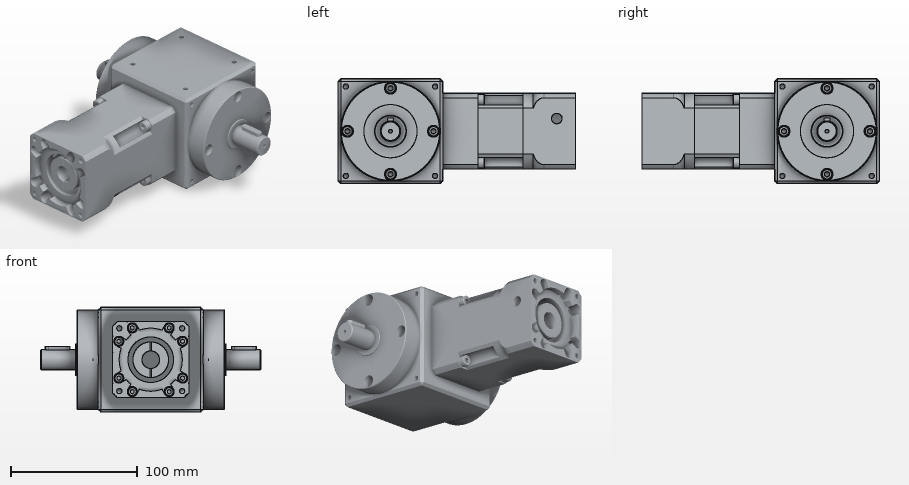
import cadquery as cq
import math


overall_x = 174.0
overall_y = 187.7

block_size = 83.0
block_half = block_size / 2
block_chamfer = 2.3
side_tap_offset = 35.3
top_tap_offset = 28.3

tap_radius = 2.0
tap_depth = 7.5
drill_tip_angle = 118.0

flange_radius = 39.5
flange_length = 16.9
flange_chamfer = 0.5
flange_face = block_half + flange_length
flange_screw_circle = 34.0
flange_bore_radius = 4.7
flange_bore_depth = 12.5
flange_screw_radius = 4.1
flange_screw_height = 5.0
flange_screw_socket = 4.0

shaft_end = overall_x / 2
shaft_radius = 8.0
shaft_chamfer = 0.8
disc_radius = 21.0
collar_radius = 12.5
collar_length = 1.1
collar_chamfer = 0.4
centre_hole_radius = 1.5
centre_hole_depth = 3.8
key_width = 5.0
key_length = 19.7
key_end_gap = 3.5
key_top = 10.5

stage_width = 60.0
stage_half = stage_width / 2
adapter_front = -69.0
ring_gear_front = -104.5
ring_gear_length = adapter_front - ring_gear_front
motor_face = block_half - overall_y
large_corner_radius = 40.0
small_corner_radius = 35.1
bolt_offset = small_corner_radius / math.sqrt(2)
bolt_positions = [(x, z) for x in (-bolt_offset, bolt_offset) for z in (-bolt_offset, bolt_offset)]
stage_screw_radius = 4.3
stage_screw_height = 5.3
stage_screw_socket = 4.0
screw_groove_radius = 5.3

motor_flange_length = ring_gear_front - motor_face
neck_front = -112.8
shoulder_radius = 10.0
pilot_radius = 25.0
pilot_depth = 6.0
cavity_radius = 18.0
motor_screw_circle = 29.0
motor_screw_angles = [quarter + turn for quarter in (0, 90, 180, 270) for turn in (30, 60)]
motor_bore_radius = 4.0
motor_bore_depth = 10.5
motor_screw_radius = 3.5
motor_screw_height = 1.0
motor_screw_socket = 3.0
relief_slot_start = 21.5
access_hole_radius = 4.1
access_hole_y = motor_face + 14.8
access_hole_z = 10.0

hub_radius = 14.0
hub_face = motor_face + 6.8
hub_bore_radius = 7.0
hub_bore_depth = 24.4
hub_slit_width = 1.0
hub_slit_depth = 18.8

head_chamfer = 0.4
socket_share = 0.6

FRONT = (0, -1, 0)
BACK = (0, 1, 0)
DOWN = (0, 0, -1)


def moved_along(start, direction, distance):
    return tuple(s + d * distance for s, d in zip(start, direction))


def cylinder(radius, length, start, direction):
    return cq.Workplane(cq.Solid.makeCylinder(radius, length, cq.Vector(*start), cq.Vector(*direction)))


def end_chamfered_cylinder(radius, length, start, direction, chamfer):
    """A cylinder with its far end chamfered."""
    far_end = cq.selectors.DirectionMinMaxSelector(cq.Vector(*direction), True)
    return cylinder(radius, length, start, direction).faces(far_end).chamfer(chamfer)


def drill_tip(radius, start, direction):
    """The cone that a drill leaves at the bottom of a hole."""
    length = radius / math.tan(math.radians(drill_tip_angle / 2))
    return cq.Workplane(cq.Solid.makeCone(radius, 0, length, cq.Vector(*start), cq.Vector(*direction)))


def drilled_hole(radius, depth, start, direction):
    bottom = moved_along(start, direction, depth)
    return cylinder(radius, depth, start, direction).union(drill_tip(radius, bottom, direction))


def socket_head(radius, height, socket_width, seat, direction):
    """A screw head with a hexagon socket, standing on its seat."""
    head = end_chamfered_cylinder(radius, height, seat, direction, head_chamfer)
    socket = (
        cq.Workplane(cq.Plane(origin=seat, xDir=(0, 0, 1), normal=direction))
        .workplane(offset=height)
        .polygon(6, socket_width * 2 / math.sqrt(3))
        .extrude(-height * socket_share)
    )
    return head.cut(socket)


def square_prism(back, front):
    """A length of the input stage with its full square section."""
    length = back - front
    return cq.Workplane("XY").box(stage_width, length, stage_width).translate((0, front + length / 2, 0))


def stage_section(back, front, corner_radius):
    """A square length of the input stage with its corners turned to a radius."""
    return square_prism(back, front).intersect(cylinder(corner_radius, back - front, (0, back, 0), FRONT))


def add_output_flange(body, side):
    outward = (side, 0, 0)
    inward = (-side, 0, 0)
    root = (side * (block_half - block_chamfer), 0, 0)
    body = body.union(
        end_chamfered_cylinder(flange_radius, flange_length + block_chamfer, root, outward, flange_chamfer)
    )
    for y, z in ((1, 0), (0, 1), (-1, 0), (0, -1)):
        mouth = (side * flange_face, flange_screw_circle * y, flange_screw_circle * z)
        seat = moved_along(mouth, inward, flange_bore_depth)
        head = socket_head(flange_screw_radius, flange_screw_height, flange_screw_socket, seat, outward)
        socket_bottom = moved_along(seat, outward, flange_screw_height * (1 - socket_share))
        head = head.cut(drill_tip(flange_screw_socket / 2, socket_bottom, inward))
        body = body.cut(cylinder(flange_bore_radius, flange_bore_depth, mouth, inward)).union(head)
    return body.cut(cylinder(disc_radius, flange_length, (side * flange_face, 0, 0), inward))


def cut_block_taps(body):
    for y in (-side_tap_offset, side_tap_offset):
        for z in (-side_tap_offset, side_tap_offset):
            for side in (-1, 1):
                body = body.cut(drilled_hole(tap_radius, tap_depth, (side * block_half, y, z), (-side, 0, 0)))
    for x in (-top_tap_offset, top_tap_offset):
        for y in (-top_tap_offset, top_tap_offset):
            body = body.cut(drilled_hole(tap_radius, tap_depth, (x, y, block_half), DOWN))
    return body


def add_adapter(body):
    body = body.union(stage_section(-block_half, adapter_front, large_corner_radius))
    for x, z in bolt_positions:
        seat = (x, adapter_front, z)
        body = body.union(
            socket_head(stage_screw_radius, stage_screw_height, stage_screw_socket, seat, FRONT)
        )
    return body


def make_housing():
    body = cq.Workplane("XY").box(block_size, block_size, block_size).edges().chamfer(block_chamfer)
    for side in (-1, 1):
        body = add_output_flange(body, side)
    body = cut_block_taps(body)
    body = add_adapter(body)
    return body.cut(cylinder(shaft_radius, block_size, (-block_half, 0, 0), (1, 0, 0)))


def make_ring_gear():
    body = stage_section(adapter_front, ring_gear_front, small_corner_radius)
    for x, z in bolt_positions:
        body = body.cut(cylinder(screw_groove_radius, ring_gear_length, (x, adapter_front, z), FRONT))
    return body


def motor_flange_envelope():
    """The turned shape of the corners: a thin neck, a rounded shoulder and a thick front."""
    arc_centre_radius = large_corner_radius - shoulder_radius
    arc_start_angle = math.acos((small_corner_radius - arc_centre_radius) / shoulder_radius)
    shoulder_front = neck_front - shoulder_radius * math.sin(arc_start_angle)
    arc_middle = (
        arc_centre_radius + shoulder_radius * math.cos(arc_start_angle / 2),
        shoulder_front + shoulder_radius * math.sin(arc_start_angle / 2),
    )
    return (
        cq.Workplane("XY")
        .moveTo(0, ring_gear_front)
        .lineTo(small_corner_radius, ring_gear_front)
        .lineTo(small_corner_radius, neck_front)
        .threePointArc(arc_middle, (large_corner_radius, shoulder_front))
        .lineTo(large_corner_radius, motor_face)
        .lineTo(0, motor_face)
        .close()
        .revolve(360, (0, 0, 0), (0, 1, 0))
    )


def add_motor_screw(body, angle):
    """A screw head in a bore that opens sideways into the pilot recess."""
    x = motor_screw_circle * math.cos(math.radians(angle))
    z = motor_screw_circle * math.sin(math.radians(angle))
    mouth = (x, motor_face, z)
    seat = moved_along(mouth, BACK, motor_bore_depth)
    relief_length = motor_screw_circle - relief_slot_start
    relief_slot = (
        cq.Workplane("XY")
        .box(relief_length, pilot_depth, 2 * motor_bore_radius)
        .translate((relief_slot_start + relief_length / 2, motor_face + pilot_depth / 2, 0))
        .rotate((0, 0, 0), (0, 1, 0), -angle)
    )
    body = body.cut(cylinder(motor_bore_radius, motor_bore_depth, mouth, BACK)).cut(relief_slot)
    return body.union(socket_head(motor_screw_radius, motor_screw_height, motor_screw_socket, seat, FRONT))


def make_motor_flange():
    face_centre = (0, motor_face, 0)
    body = square_prism(ring_gear_front, motor_face).intersect(motor_flange_envelope())
    body = body.cut(cylinder(pilot_radius, pilot_depth, face_centre, BACK))
    body = body.cut(cylinder(cavity_radius, motor_flange_length, face_centre, BACK))
    access_start = (-stage_half, access_hole_y, access_hole_z)
    body = body.cut(cylinder(access_hole_radius, stage_half, access_start, (1, 0, 0)))
    for angle in motor_screw_angles:
        body = add_motor_screw(body, angle)
    for x, z in bolt_positions:
        body = body.cut(drilled_hole(tap_radius, tap_depth, (x, motor_face, z), BACK))
    return body


def make_clamp_hub():
    face_centre = (0, hub_face, 0)
    slit = (
        cq.Workplane("XY")
        .box(hub_slit_width, hub_slit_depth, 2 * hub_radius)
        .translate((0, hub_face + hub_slit_depth / 2, 0))
    )
    body = cylinder(hub_radius, ring_gear_front - hub_face, face_centre, BACK)
    return body.cut(cylinder(hub_bore_radius, hub_bore_depth, face_centre, BACK)).cut(slit)


def add_shaft_end(body, side):
    outward = (side, 0, 0)
    disc = cylinder(disc_radius, flange_length, (side * block_half, 0, 0), outward)
    collar = end_chamfered_cylinder(
        collar_radius, collar_length, (side * flange_face, 0, 0), outward, collar_chamfer
    )
    key_centre = side * (shaft_end - key_end_gap - key_length / 2)
    key = cq.Workplane("XY").center(key_centre, 0).slot2D(key_length, key_width).extrude(key_top)
    centre_hole = drilled_hole(centre_hole_radius, centre_hole_depth, (side * shaft_end, 0, 0), (-side, 0, 0))
    return body.union(disc).union(collar).union(key).cut(centre_hole)


def make_output_shaft():
    body = cylinder(shaft_radius, overall_x, (-shaft_end, 0, 0), (1, 0, 0))
    body = body.faces("<X or >X").chamfer(shaft_chamfer)
    for side in (-1, 1):
        body = add_shaft_end(body, side)
    return body


housing = make_housing()
ring_gear = make_ring_gear()
motor_flange = make_motor_flange()
clamp_hub = make_clamp_hub()
output_shaft = make_output_shaft()

bodies = (housing, ring_gear, motor_flange, clamp_hub, output_shaft)
result = cq.Compound.makeCompound([body.solids().val() for body in bodies])